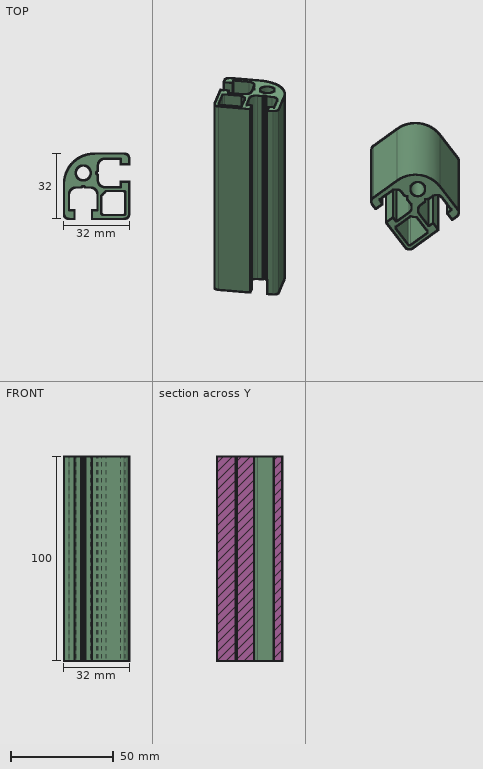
import cadquery as cq

side = 32.0
length = 100.0
outer_radius = 15.0
corner_radius = 2.5

slot_center = 9.5
slot_width = 13.8
slot_depth = 15.3
slot_corner_radius = 3.3
mouth_width = 8.4
lip_thickness = 4.3
groove_depth = 0.8
groove_width = 2.1
groove_floor_width = 0.5

bore_diameter = 7.2

hollow_wall = 2.0
hollow_size = 11.6
hollow_chamfer = 2.2
hollow_radius = 0.8


def make_body():
    """Square bar with one large rounded edge and three small ones."""
    body = cq.Workplane("XY").box(side, side, length, centered=False)
    body = body.edges("|Z and (<X and >Y)").fillet(outer_radius)
    return body.edges("|Z and (>X or (<X and <Y))").fillet(corner_radius)


def make_slot():
    """Cutter for the slot open to -Y, with a tapered groove along its floor."""
    chamber = (
        cq.Workplane("XY")
        .box(slot_width, slot_depth - lip_thickness, length, centered=(True, False, False))
        .edges("|Z and >Y")
        .fillet(slot_corner_radius)
        .translate((slot_center, lip_thickness, 0))
    )
    mouth = (
        cq.Workplane("XY")
        .box(mouth_width, slot_depth / 2, length, centered=(True, False, False))
        .translate((slot_center, 0, 0))
    )
    groove = (
        cq.Workplane("XY")
        .moveTo(slot_center - groove_width / 2, slot_depth)
        .lineTo(slot_center - groove_floor_width / 2, slot_depth + groove_depth)
        .lineTo(slot_center + groove_floor_width / 2, slot_depth + groove_depth)
        .lineTo(slot_center + groove_width / 2, slot_depth)
        .close()
        .extrude(length)
    )
    return chamber.union(mouth).union(groove)


def make_hollow():
    """Cutter for the square hollow, chamfered towards the profile centre."""
    hollow = cq.Workplane("XY").box(hollow_size, hollow_size, length, centered=False)
    hollow = hollow.edges("|Z and (<X and >Y)").chamfer(hollow_chamfer)
    hollow = hollow.edges("|Z and (<Y or (>X and >Y))").fillet(hollow_radius)
    return hollow.translate((side - hollow_wall - hollow_size, hollow_wall, 0))


def mirror_across_diagonal(cutter):
    """Mirror about the diagonal from the large rounded edge to the hollow."""
    diagonal_normal = (1, 1, 0)
    return cutter.mirror(diagonal_normal, (side, 0, 0))


def make_bore():
    return (
        cq.Workplane("XY")
        .center(slot_center, side - slot_center)
        .circle(bore_diameter / 2)
        .extrude(length)
    )


result = make_body()
lower_slot = make_slot()
side_slot = mirror_across_diagonal(lower_slot)
for cutter in (lower_slot, side_slot, make_bore(), make_hollow()):
    result = result.cut(cutter)